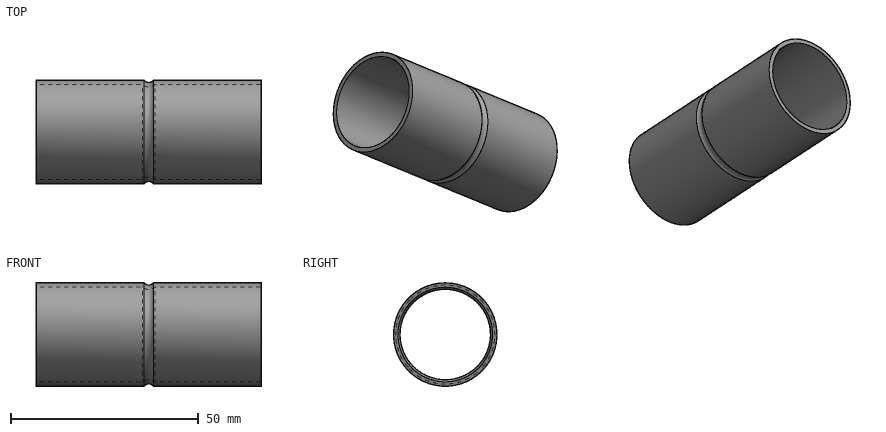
import math

import cadquery as cq

length = 60.0
outer_radius = 13.8
wall = 1.2
groove_width = 2.4
groove_depth = 0.6

inner_radius = outer_radius - wall
half_length = length / 2
half_groove = groove_width / 2

groove_arc_radius = (half_groove**2 + groove_depth**2) / (2 * groove_depth)
bead_arc_radius = groove_arc_radius + wall
half_bead = math.sqrt(bead_arc_radius**2 - (bead_arc_radius - groove_depth) ** 2)


def wall_section():
    """Section of the tube wall on the +Z side of the axis."""
    return (
        cq.Workplane("XZ")
        .moveTo(-half_length, inner_radius)
        .lineTo(-half_bead, inner_radius)
        .threePointArc((0, inner_radius - groove_depth), (half_bead, inner_radius))
        .lineTo(half_length, inner_radius)
        .lineTo(half_length, outer_radius)
        .lineTo(half_groove, outer_radius)
        .threePointArc((0, outer_radius - groove_depth), (-half_groove, outer_radius))
        .lineTo(-half_length, outer_radius)
        .close()
    )


result = wall_section().revolve(360, (0, 0, 0), (1, 0, 0))